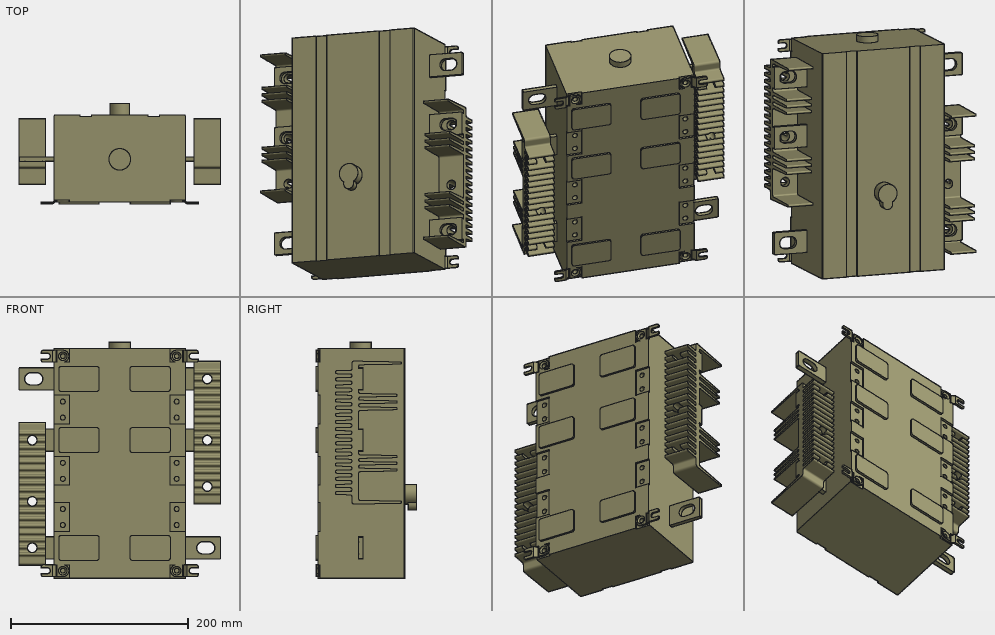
import cadquery as cq
import math

BODY_WIDTH = 148.0
OVERALL_DEPTH = 113.5
PAD_PROUD = 2.3
KNOB_HEIGHT = 13.0
BODY_DEPTH = OVERALL_DEPTH - PAD_PROUD - KNOB_HEIGHT
OVERALL_HEIGHT = 266.0
TOP_BOSS_HEIGHT = 7.2
BODY_HEIGHT = OVERALL_HEIGHT - TOP_BOSS_HEIGHT
BACK_CHAMFER = 1.0
HALF_WIDTH = BODY_WIDTH / 2
HALF_HEIGHT = BODY_HEIGHT / 2
SIDES = (-1, 1)
DIAGONAL = math.sqrt(0.5)

GROOVE_CENTRE_X = 38.2
GROOVE_WIDTH = 12.8
GROOVE_DEPTH = 1.6

TOP_BOSS_DIAMETER = 24.3
TOP_BOSS_Y = 48.2

KNOB_RADIUS = 11.25
KNOB_Z = -34.7
LEVER_WIDTH = 12.0
LEVER_THICKNESS = 9.6
LEVER_BOTTOM_Z = -52.5

POLE_HEIGHTS = (95.2, 26.3, -95.0)

PAD_CENTRES_X = (-45.9, 34.3)
PAD_WIDTH = 45.4
PAD_HEIGHT = 28.3
PAD_CORNER_RADIUS = 3.0

RECESS_WIDTH = 17.4
RECESS_DEPTH = 2.4
CORNER_RECESS_HEIGHT = 15.3
EDGE_RECESS_HEIGHT = 32.4
EDGE_RECESS_CENTRES_Z = (60.6, -8.3, -60.3)
HOLE_COLUMN_X = 64.1
RECESS_HOLE_DIAMETER = 5.6
RECESS_HOLE_PITCH = 18.0
HOLE_DEPTH = 10.0

BRACKET_Z = 120.7
BRACKET_WIDTH = 13.6
BRACKET_THICKNESS = 2.0
END_FLAT = 0.01
BRACKET_OUTER_X = 88.5
JOGGLE_OUTER_X = 75.6
JOGGLE_INNER_X = 71.6
BRACKET_GROOVE_DEPTH = 1.2
BRACKET_GROOVE_INNER_X = 70.4
FORK_SLOT_WIDTH = 6.4
FORK_SLOT_END_X = 78.3
FORK_CORNER_RADIUS = 2.6
SCREW_HOLE_DIAMETER = 5.4
SCREW_SINK_DIAMETER = 9.6
SCREW_SINK_DEPTH = 1.8

OVERALL_WIDTH = 227.0
BAR_END_X = OVERALL_WIDTH / 2
BAR_FRONT_Y = 45.9
BAR_THICKNESS = 5.0
BAR_HEIGHT = 25.4
BAR_END_CHAMFER = 0.8
BAR_SLOT_CENTRE_X = 96.8
BAR_SLOT_LENGTH = 20.2
BAR_SLOT_WIDTH = 13.6

SINK_WIDTH = 30.0
RIGHT_SINK_Z = 34.7
LEFT_SINK_Z = RIGHT_SINK_Z - (POLE_HEIGHTS[0] - POLE_HEIGHTS[1])
SINK_HALF_HEIGHT = 80.5
WALL_FRONT_Y = 38.3
WALL_BACK_Y = BAR_FRONT_Y
WALL_CORNER_RADIUS = 2.8
FRONT_FIN_PITCH = 8.0
FRONT_FINS_PER_HALF = 9
FRONT_FIN_TIP_Y = 19.8
FIN_ROOT_HALF = 2.0
FRONT_FIN_TIP_HALF = 1.75
BACK_FIN_PITCH = 7.5
BACK_FINS_PER_HALF = 3
TOP_BACK_FIN_OFFSET = 42.0
BACK_FIN_TIP_Y = 89.2
BACK_FIN_TIP_HALF = 1.2
FLANGE_TIP_Y = 94.1
FLANGE_TIP_OFFSET = 78.3
FLANGE_ROOT_THICKNESS = 4.2
SINK_HOLE_DIAMETER = 10.6
SINK_HOLE_X = BAR_END_X - SINK_WIDTH / 2
SINK_HOLE_OFFSETS = (60.4, -8.5, -60.7)


def box(x_range, y_range, z_range):
    """Box between two limits on each axis."""
    size = [b - a for a, b in (x_range, y_range, z_range)]
    corner = (x_range[0], y_range[0], z_range[0])
    return cq.Workplane("XY").box(*size, centered=False).translate(corner)


def along_y(x, z, start_y, diameter, length):
    """Cylinder running from start_y toward +Y."""
    return cq.Workplane("XZ", origin=(x, start_y, z)).circle(diameter / 2).extrude(-length)


def side_range(side, inner, outer):
    """X limits of a feature between two distances from the middle plane."""
    return tuple(sorted((side * inner, side * outer)))


def make_housing():
    housing = box((-HALF_WIDTH, HALF_WIDTH), (0, BODY_DEPTH), (-HALF_HEIGHT, HALF_HEIGHT))
    housing = housing.faces(">Y").edges("|Z").chamfer(BACK_CHAMFER)
    for side in SIDES:
        groove = box(
            side_range(side, GROOVE_CENTRE_X - GROOVE_WIDTH / 2, GROOVE_CENTRE_X + GROOVE_WIDTH / 2),
            (BODY_DEPTH - GROOVE_DEPTH, BODY_DEPTH),
            (-HALF_HEIGHT, HALF_HEIGHT),
        )
        housing = housing.cut(groove)
    boss = (
        cq.Workplane("XY", origin=(0, TOP_BOSS_Y, HALF_HEIGHT))
        .circle(TOP_BOSS_DIAMETER / 2)
        .extrude(TOP_BOSS_HEIGHT)
    )
    return housing.union(boss)


def make_knob():
    knob = along_y(0, KNOB_Z, BODY_DEPTH, 2 * KNOB_RADIUS, KNOB_HEIGHT)
    knob_top_y = BODY_DEPTH + KNOB_HEIGHT
    lever_start_y = knob_top_y - LEVER_THICKNESS
    end_centre_z = LEVER_BOTTOM_Z + LEVER_WIDTH / 2
    arm = box(
        (-LEVER_WIDTH / 2, LEVER_WIDTH / 2),
        (lever_start_y, knob_top_y),
        (end_centre_z, KNOB_Z),
    )
    arm_end = along_y(0, end_centre_z, lever_start_y, LEVER_WIDTH, LEVER_THICKNESS)
    return knob.union(arm).union(arm_end)


def make_pad(x, z):
    pad = box(
        (x - PAD_WIDTH / 2, x + PAD_WIDTH / 2),
        (-PAD_PROUD, 0),
        (z - PAD_HEIGHT / 2, z + PAD_HEIGHT / 2),
    )
    return pad.edges("|Y").fillet(PAD_CORNER_RADIUS)


def make_recess(side, bottom_z, top_z):
    return box(side_range(side, HALF_WIDTH - RECESS_WIDTH, HALF_WIDTH), (0, RECESS_DEPTH), (bottom_z, top_z))


def cut_recesses(housing):
    for side in SIDES:
        corner_inner_z = HALF_HEIGHT - CORNER_RECESS_HEIGHT
        housing = housing.cut(make_recess(side, corner_inner_z, HALF_HEIGHT))
        housing = housing.cut(make_recess(side, -HALF_HEIGHT, -corner_inner_z))
        for z in EDGE_RECESS_CENTRES_Z:
            half = EDGE_RECESS_HEIGHT / 2
            housing = housing.cut(make_recess(side, z - half, z + half))
            for step in SIDES:
                hole_z = z + step * RECESS_HOLE_PITCH / 2
                hole = along_y(side * HOLE_COLUMN_X, hole_z, RECESS_DEPTH, RECESS_HOLE_DIAMETER, HOLE_DEPTH)
                housing = housing.cut(hole)
    return housing


def make_bracket():
    """Joggled strip for the +X side, centred on z = 0; its slot opens toward +X."""
    plate_inner_x = HOLE_COLUMN_X - BRACKET_WIDTH / 2
    strip = (
        cq.Workplane("XY", origin=(0, 0, -BRACKET_WIDTH / 2))
        .polyline([
            (plate_inner_x, RECESS_DEPTH),
            (JOGGLE_INNER_X, RECESS_DEPTH),
            (JOGGLE_OUTER_X, 0),
            (BRACKET_OUTER_X, 0),
            (BRACKET_OUTER_X, -BRACKET_THICKNESS),
            (JOGGLE_OUTER_X, -BRACKET_THICKNESS),
            (JOGGLE_INNER_X, BRACKET_GROOVE_DEPTH),
            (BRACKET_GROOVE_INNER_X, BRACKET_GROOVE_DEPTH),
            (BRACKET_GROOVE_INNER_X, 0),
            (plate_inner_x, 0),
        ])
        .close()
        .extrude(BRACKET_WIDTH)
    )
    strip = strip.edges("|Y and <X").fillet(BRACKET_WIDTH / 2 - END_FLAT)
    strip = strip.edges("|Y and >X").fillet(FORK_CORNER_RADIUS)
    slot_end_x = FORK_SLOT_END_X + FORK_SLOT_WIDTH / 2
    slot = box(
        (slot_end_x, BRACKET_OUTER_X),
        (-BRACKET_THICKNESS, 0),
        (-FORK_SLOT_WIDTH / 2, FORK_SLOT_WIDTH / 2),
    )
    slot_end = along_y(slot_end_x, 0, -BRACKET_THICKNESS, FORK_SLOT_WIDTH, BRACKET_THICKNESS)
    return strip.cut(slot).cut(slot_end)


def make_screw_hole():
    """Countersunk blind hole, centred on x = z = 0."""
    return (
        cq.Workplane("XY")
        .polyline([
            (0, 0),
            (SCREW_SINK_DIAMETER / 2, 0),
            (SCREW_HOLE_DIAMETER / 2, SCREW_SINK_DEPTH),
            (SCREW_HOLE_DIAMETER / 2, HOLE_DEPTH),
            (0, HOLE_DEPTH),
        ])
        .close()
        .revolve(360, (0, 0, 0), (0, 1, 0))
    )


def add_brackets(part):
    bracket = make_bracket()
    screw_hole = make_screw_hole()
    for side in SIDES:
        handed = bracket if side > 0 else bracket.mirror("YZ")
        for end in SIDES:
            part = part.union(handed.translate((0, 0, end * BRACKET_Z)))
            part = part.cut(screw_hole.translate((side * HOLE_COLUMN_X, 0, end * BRACKET_Z)))
    return part


def make_bar(side, z):
    bar = box(
        side_range(side, HALF_WIDTH, BAR_END_X),
        (BAR_FRONT_Y, BAR_FRONT_Y + BAR_THICKNESS),
        (z - BAR_HEIGHT / 2, z + BAR_HEIGHT / 2),
    )
    outer_face = ">X" if side > 0 else "<X"
    bar = bar.faces(outer_face).edges("|Y").chamfer(BAR_END_CHAMFER)
    slot = (
        cq.Workplane("XZ", origin=(side * BAR_SLOT_CENTRE_X, BAR_FRONT_Y, z))
        .slot2D(BAR_SLOT_LENGTH, BAR_SLOT_WIDTH)
        .extrude(-BAR_THICKNESS)
    )
    return bar.cut(slot)


def draw_fin(path, wall_y, tip_y, z, tip_half, gap_radius, z_step):
    """Add one tapered fin to the outline, with the quarter-round roots on both of its sides.

    The path moves along Z in the direction z_step, which is +1 or -1.
    """
    outward = math.copysign(1, tip_y - wall_y)
    root_y = wall_y + outward * gap_radius
    round_y = tip_y - outward * tip_half
    arc_y = root_y - outward * gap_radius * DIAGONAL
    root_reach = FIN_ROOT_HALF + gap_radius
    arc_reach = root_reach - gap_radius * DIAGONAL
    return (
        path.threePointArc((arc_y, z - z_step * arc_reach), (root_y, z - z_step * FIN_ROOT_HALF))
        .lineTo(round_y, z - z_step * tip_half)
        .threePointArc((tip_y, z), (round_y, z + z_step * tip_half))
        .lineTo(root_y, z + z_step * FIN_ROOT_HALF)
        .threePointArc((arc_y, z + z_step * arc_reach), (wall_y, z + z_step * root_reach))
    )


def draw_flange(path, root_radius):
    """Add the rounded wall end and the tapered flange that reaches backward from it."""
    corner_y = WALL_FRONT_Y + WALL_CORNER_RADIUS
    corner_z = SINK_HALF_HEIGHT - WALL_CORNER_RADIUS
    corner_offset = WALL_CORNER_RADIUS * DIAGONAL
    tip_round_y = FLANGE_TIP_Y - BACK_FIN_TIP_HALF
    tip_outer_z = FLANGE_TIP_OFFSET + BACK_FIN_TIP_HALF
    tip_inner_z = FLANGE_TIP_OFFSET - BACK_FIN_TIP_HALF
    root_y = WALL_BACK_Y + root_radius
    inner_z = SINK_HALF_HEIGHT - FLANGE_ROOT_THICKNESS
    root_centre_z = inner_z - root_radius
    root_offset = root_radius * DIAGONAL
    return (
        path.lineTo(WALL_FRONT_Y, corner_z)
        .threePointArc((corner_y - corner_offset, corner_z + corner_offset), (corner_y, SINK_HALF_HEIGHT))
        .lineTo(tip_round_y, tip_outer_z)
        .threePointArc((FLANGE_TIP_Y, FLANGE_TIP_OFFSET), (tip_round_y, tip_inner_z))
        .lineTo(root_y, inner_z)
        .threePointArc((root_y - root_offset, root_centre_z + root_offset), (WALL_BACK_Y, root_centre_z))
    )


def make_sink():
    """Heat sink centred on x = z = 0: upper half of the extruded profile plus its mirror image."""
    front_gap_radius = FRONT_FIN_PITCH / 2 - FIN_ROOT_HALF
    back_gap_radius = BACK_FIN_PITCH / 2 - FIN_ROOT_HALF

    path = cq.Workplane("YZ", origin=(-SINK_WIDTH / 2, 0, 0)).moveTo(WALL_FRONT_Y, 0)
    for index in range(FRONT_FINS_PER_HALF):
        z = (index + 0.5) * FRONT_FIN_PITCH
        path = draw_fin(path, WALL_FRONT_Y, FRONT_FIN_TIP_Y, z, FRONT_FIN_TIP_HALF, front_gap_radius, 1)
    path = draw_flange(path, back_gap_radius)
    path = path.lineTo(WALL_BACK_Y, TOP_BACK_FIN_OFFSET + BACK_FIN_PITCH / 2)
    for index in range(BACK_FINS_PER_HALF):
        z = TOP_BACK_FIN_OFFSET - index * BACK_FIN_PITCH
        path = draw_fin(path, WALL_BACK_Y, BACK_FIN_TIP_Y, z, BACK_FIN_TIP_HALF, back_gap_radius, -1)
    half = path.lineTo(WALL_BACK_Y, 0).close().extrude(SINK_WIDTH)

    sink = half.union(half.mirror("XY"))
    for z in SINK_HOLE_OFFSETS:
        hole = along_y(0, z, FRONT_FIN_TIP_Y, SINK_HOLE_DIAMETER, WALL_BACK_Y - FRONT_FIN_TIP_Y)
        sink = sink.cut(hole)
    return sink


def make_part():
    part = cut_recesses(make_housing()).union(make_knob())
    for z in POLE_HEIGHTS:
        for x in PAD_CENTRES_X:
            part = part.union(make_pad(x, z))
        for side in SIDES:
            part = part.union(make_bar(side, z))
    part = add_brackets(part)
    sink = make_sink()
    part = part.union(sink.translate((SINK_HOLE_X, 0, RIGHT_SINK_Z)))
    return part.union(sink.translate((-SINK_HOLE_X, 0, LEFT_SINK_Z)))


result = make_part()